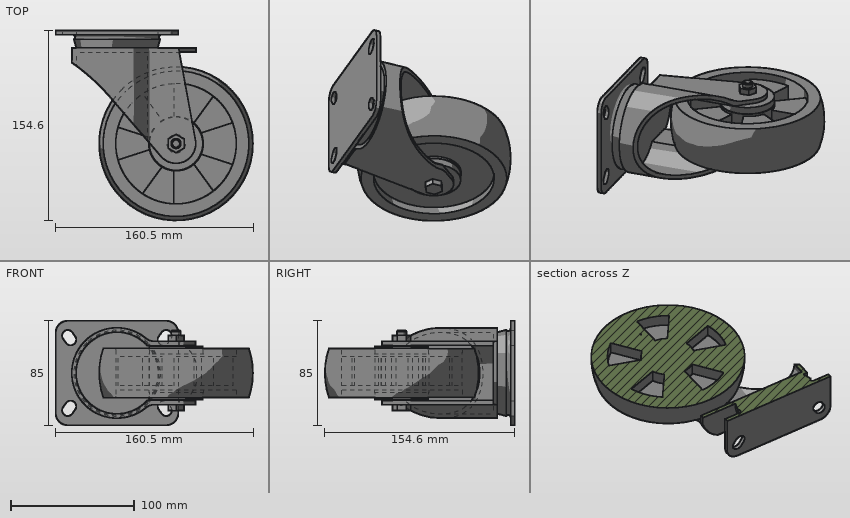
import cadquery as cq
import math


plate_length = 99.8
plate_width = 85.0
plate_thickness = 3.5
plate_corner_radius = 10.0
slot_spacing_x = 77.7
slot_spacing_z = 57.5
slot_width = 9.0
slot_length = 13.0
slot_angle = 55.0

ring_bottom = 14.1
ring_edge_depth = 7.0
ring_plate_radius = 36.1
ring_neck_radius = 34.2
ring_neck_depth = 5.6
ring_edge_radius = 35.1
ring_bottom_radius = 33.2

axle_x = 48.0
axle_depth = 92.0
wheel_radius = 62.6
tread_edge_radius = 59.2
wheel_width = 40.0
rim_inner_radius = 98.0 / 2
spoke_height = 27.6
web_thickness = 3.9
pocket_count = 5
pocket_inset = 2.0
hub_radius = 22.1
hub_flange_radius = 43.5 / 2
hub_flange_thickness = 5.8
hub_width = 43.2

fork_radius = 73.5 / 2
fork_thickness = 3.5
fork_top = ring_bottom
arm_outer = 25.8
arm_bend_radius = 9.6
arm_end_radius = 16.0
arm_top_x = 50.0
tab_radius = 29.5
tab_end_x = 64.4
fork_front_depth = 26.2
cut_straight_x = -5.3
cut_straight_depth = 54.5

bolt_diameter = 8.0
bolt_end = 34.7
bolt_chamfer = 1.0
hex_across_flats = 13.0
hex_height = 4.8
spacer_diameter = 15.0

axle = (axle_x, -axle_depth)
arm_inner = arm_outer - fork_thickness


def disc(radius, z_low, z_high):
    """Cylinder on the wheel axle between two Z levels."""
    return cq.Workplane("XY", origin=(*axle, z_low)).circle(radius).extrude(z_high - z_low)


def centred_disc(radius, width):
    return disc(radius, -width / 2, width / 2)


def axle_tangent_point(x, y, side):
    """Touch point on the arm end circle of a tangent from (x, y); side +1 or -1 picks which."""
    dx = x - axle[0]
    dy = y - axle[1]
    angle = math.atan2(dy, dx) + side * math.acos(arm_end_radius / math.hypot(dx, dy))
    return (
        axle[0] + arm_end_radius * math.cos(angle),
        axle[1] + arm_end_radius * math.sin(angle),
    )


def make_plate():
    plate = (
        cq.Workplane("XZ")
        .rect(plate_length, plate_width)
        .extrude(plate_thickness)
        .edges("|Y")
        .fillet(plate_corner_radius)
    )
    for side_x in (-1, 1):
        for side_z in (-1, 1):
            slot = (
                cq.Workplane("XZ")
                .center(side_x * slot_spacing_x / 2, side_z * slot_spacing_z / 2)
                .slot2D(slot_length, slot_width, side_x * side_z * slot_angle)
                .extrude(plate_thickness)
            )
            plate = plate.cut(slot)
    return plate


def make_bearing_ring():
    return (
        cq.Workplane("XY")
        .moveTo(0, -plate_thickness)
        .lineTo(ring_plate_radius, -plate_thickness)
        .threePointArc((ring_neck_radius, -ring_neck_depth), (ring_edge_radius, -ring_edge_depth))
        .lineTo(ring_bottom_radius, -ring_bottom)
        .lineTo(0, -ring_bottom)
        .close()
        .revolve(360, (0, 0, 0), (0, 1, 0))
    )


def make_fork_side_shape():
    """Side shape of the fork, as a block across the full fork width."""
    rear_touch = axle_tangent_point(arm_top_x, -fork_top, -1)
    front_touch = axle_tangent_point(cut_straight_x, -cut_straight_depth, 1)
    return (
        cq.Workplane("XY")
        .moveTo(arm_top_x, -fork_top)
        .lineTo(*rear_touch)
        .threePointArc((axle[0], axle[1] - arm_end_radius), front_touch)
        .lineTo(cut_straight_x, -cut_straight_depth)
        .tangentArcPoint((-fork_radius, -fork_front_depth), relative=False)
        .lineTo(-fork_radius, -fork_top)
        .close()
        .extrude(fork_radius, both=True)
    )


def make_fork():
    fork_depth = axle_depth + arm_end_radius - fork_top
    top_plane = cq.Workplane("XZ", origin=(0, -fork_top, 0))

    centre_distance = fork_radius + arm_bend_radius
    bend_z = arm_outer + arm_bend_radius
    bend_x = math.sqrt(centre_distance**2 - bend_z**2)
    touch_x = bend_x * fork_radius / centre_distance
    touch_z = bend_z * fork_radius / centre_distance
    outline = (
        top_plane.moveTo(tab_end_x, arm_outer)
        .lineTo(bend_x, arm_outer)
        .tangentArcPoint((touch_x, touch_z), relative=False)
        .threePointArc((-fork_radius, 0), (touch_x, -touch_z))
        .tangentArcPoint((bend_x, -arm_outer), relative=False)
        .lineTo(tab_end_x, -arm_outer)
        .close()
        .extrude(fork_depth)
    )

    under_top = cq.Workplane("XZ", origin=(0, -fork_top - fork_thickness, 0))
    housing_cavity = under_top.circle(fork_radius - fork_thickness).extrude(fork_depth)
    arm_gap = (
        under_top.center(tab_end_x / 2, 0).rect(tab_end_x, 2 * arm_inner).extrude(fork_depth)
    )

    tab_centre_x = arm_top_x - math.sqrt(tab_radius**2 - arm_outer**2)
    tab_round = top_plane.center(tab_centre_x, 0).circle(tab_radius).extrude(fork_thickness)
    tab_limit = (
        top_plane.center((arm_top_x + tab_end_x) / 2, 0)
        .rect(tab_end_x - arm_top_x, 2 * arm_outer)
        .extrude(fork_thickness)
    )
    tab = tab_round.intersect(tab_limit)
    return outline.intersect(make_fork_side_shape()).cut(housing_cavity).cut(arm_gap).union(tab)


def make_tread():
    half_width = wheel_width / 2
    return (
        cq.Workplane("XZ", origin=(axle_x, -axle_depth, 0))
        .moveTo(rim_inner_radius, -half_width)
        .lineTo(tread_edge_radius, -half_width)
        .threePointArc((wheel_radius, 0), (tread_edge_radius, half_width))
        .lineTo(rim_inner_radius, half_width)
        .close()
        .revolve(360, (0, 0, 0), (0, 1, 0))
    )


def make_spokes():
    """Spoked disc: sector pockets, each set in from its radial lines, leave wide spokes between."""
    half_angle = math.pi / (2 * pocket_count)
    apex = pocket_inset / math.sin(half_angle)
    reach = 2 * rim_inner_radius
    spread = (reach - apex) * math.tan(half_angle)
    floor_z = web_thickness - spoke_height / 2

    ring = disc(rim_inner_radius, floor_z, spoke_height / 2).cut(centred_disc(hub_radius, spoke_height))
    spokes = centred_disc(rim_inner_radius, spoke_height)
    for index in range(pocket_count):
        angle = (index + 0.5) * 360 / pocket_count
        sector = (
            cq.Workplane("XY", origin=(*axle, floor_z))
            .transformed(rotate=(0, 0, angle))
            .polyline([(apex, 0), (reach, spread), (reach, -spread)])
            .close()
            .extrude(spoke_height)
        )
        spokes = spokes.cut(sector.intersect(ring))
    return spokes


def make_wheel():
    hub = centred_disc(hub_radius, hub_width - 2 * hub_flange_thickness)
    hub_flange = centred_disc(hub_flange_radius, hub_width)
    return make_tread().union(make_spokes()).union(hub).union(hub_flange)


def make_axle_bolt():
    hex_corner_diameter = hex_across_flats / math.cos(math.pi / 6)
    hex_end = arm_outer + hex_height
    spacer = centred_disc(spacer_diameter / 2, 2 * arm_inner)
    shank = disc(bolt_diameter / 2, -arm_outer, bolt_end).faces(">Z").chamfer(bolt_chamfer)
    bolt = spacer.union(shank)
    for z_low in (-hex_end, arm_outer):
        hexagon = (
            cq.Workplane("XY", origin=(*axle, z_low))
            .transformed(rotate=(0, 0, 90))
            .polygon(6, hex_corner_diameter)
            .extrude(hex_height)
        )
        bolt = bolt.union(hexagon)
    return bolt


result = make_plate().union(make_bearing_ring()).union(make_fork())
result = result.union(make_axle_bolt()).union(make_wheel())